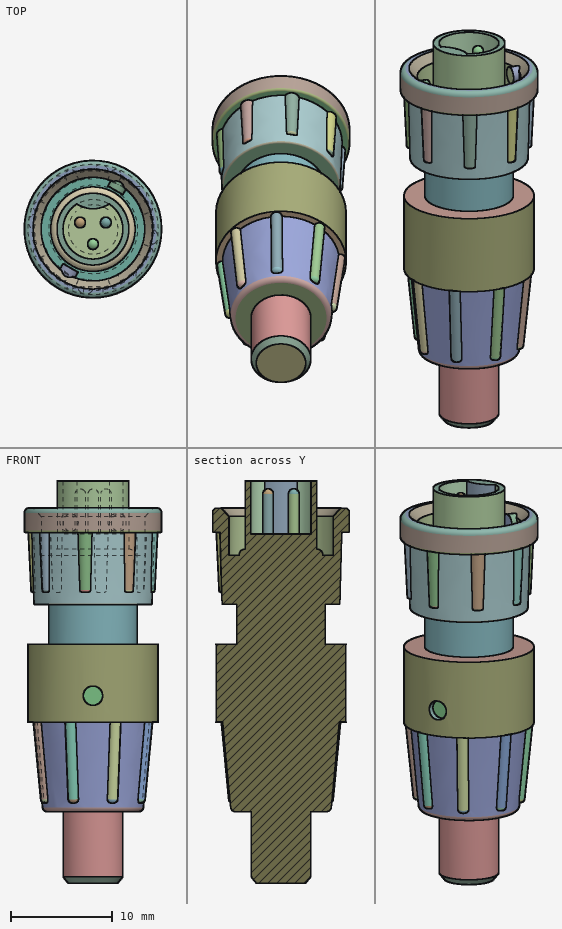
import cadquery as cq
import math

total_height = 39.52

tail_radius = 2.94
tail_chamfer_width = 0.51
tail_chamfer_height = 0.63

cap_bottom_z = 7.02
cap_bottom_radius = 4.93
cap_top_radius = 5.75
cap_fillet = 0.5
cap_rib_radius = 0.55
cap_rib_start_z = 7.9
cap_rib_tip = 0.4
cap_rib_angle = 22.5

sleeve_bottom_z = 15.83
sleeve_top_z = 23.5
sleeve_radius = 6.4
side_hole_radius = 0.95
side_hole_z = 18.43
side_hole_depth = 0.8

neck_radius = 4.36

ring_bottom_z = 27.36
ring_bottom_radius = 5.81
ring_top_radius = 6.0
ring_bottom_edge = 0.15
collar_bottom_z = 34.43
collar_top_z = 36.88
collar_radius = 13.51 / 2
collar_bottom_edge = 0.2
collar_fillet = 0.5
ring_rib_start_z = 28.6
ring_rib_bottom_radius = 0.6
ring_rib_top_radius = 0.77
ring_rib_bottom_offset = 5.53
ring_rib_top_offset = 5.64
ring_rib_tip = 0.2
ring_rib_angle = -7.5
rib_count = 8

bore_radius = 5.09
bore_floor_z = 32.22
mouth_radius = 5.89
mouth_depth = 0.85

bayonet_radius = 0.85
bayonet_inner_radius = 4.4
bayonet_z = 35.45
bayonet_angles = (60, 240)

nose_radius = 3.53
shoulder_radius = 4.15
shoulder_top_z = bore_floor_z + shoulder_radius - nose_radius
socket_radius = 2.94
socket_depth = 5.2
key_radius = 2.9
key_inner_y = 2.0

contact_radius = 0.53
contact_top_z = 38.75
contact_positions = ((-1.26, 0.65), (1.26, 0.65), (0, -1.47))


def cylinder(radius, bottom_z, top_z, position=(0, 0)):
    """Upright cylinder between two heights."""
    base = cq.Workplane("XY", origin=(position[0], position[1], bottom_z))
    return base.circle(radius).extrude(top_z - bottom_z)


def frustum(bottom_radius, top_radius, bottom_z, top_z):
    """Upright truncated cone on the part axis."""
    return cq.Workplane(
        cq.Solid.makeCone(bottom_radius, top_radius, top_z - bottom_z, cq.Vector(0, 0, bottom_z))
    )


def ribs(bottom, top, tip, first_angle):
    """Ring of round ribs; bottom and top are (axis offset, height, rib radius)."""
    bottom_offset, bottom_z, bottom_radius = bottom
    top_offset, top_z, top_radius = top
    start = cq.Vector(bottom_offset, 0, bottom_z)
    direction = cq.Vector(top_offset, 0, top_z) - start
    widening = math.degrees(math.atan2(top_radius - bottom_radius, direction.Length))
    rib_length = direction.Length + top_radius
    rib_plane = cq.Plane(origin=start, xDir=(0, 1, 0), normal=direction)
    rib = cq.Workplane(rib_plane).circle(bottom_radius).extrude(rib_length, taper=-widening)
    rib = rib.faces("<Z").edges().fillet(tip)
    rib = rib.intersect(cylinder(collar_radius, bottom_z - bottom_radius, top_z))
    ring = cq.Workplane()
    for index in range(rib_count):
        ring = ring.add(rib.rotate((0, 0, 0), (0, 0, 1), first_angle + index * 360 / rib_count))
    return ring.combine()


def make_tail():
    tail = cylinder(tail_radius, 0, sleeve_bottom_z)
    return tail.faces("<Z").chamfer(tail_chamfer_height, tail_chamfer_width)


def make_cap():
    cap = frustum(cap_bottom_radius, cap_top_radius, cap_bottom_z, sleeve_bottom_z)
    cap = cap.faces("<Z").edges().fillet(cap_fillet)
    bottom = (cap_bottom_radius, cap_rib_start_z, cap_rib_radius)
    top = (cap_top_radius, sleeve_bottom_z, cap_rib_radius)
    return cap.union(ribs(bottom, top, cap_rib_tip, cap_rib_angle))


def make_sleeve():
    sleeve = cylinder(sleeve_radius, sleeve_bottom_z, sleeve_top_z)
    hole_start = cq.Workplane("XZ", origin=(0, -sleeve_radius + side_hole_depth, side_hole_z))
    return sleeve.cut(hole_start.circle(side_hole_radius).extrude(sleeve_radius))


def make_coupling_ring():
    skirt = frustum(ring_bottom_radius, ring_top_radius, ring_bottom_z, collar_bottom_z)
    skirt = skirt.faces("<Z").edges().fillet(ring_bottom_edge)
    bottom = (ring_rib_bottom_offset, ring_rib_start_z, ring_rib_bottom_radius)
    top = (ring_rib_top_offset, collar_bottom_z, ring_rib_top_radius)
    skirt = skirt.union(ribs(bottom, top, ring_rib_tip, ring_rib_angle))
    collar = cylinder(collar_radius, collar_bottom_z, collar_top_z)
    collar = collar.faces("<Z").edges().fillet(collar_bottom_edge)
    collar = collar.faces(">Z").edges().fillet(collar_fillet)
    ring = skirt.union(collar)
    ring = ring.cut(cylinder(bore_radius, bore_floor_z, collar_top_z))
    ring = ring.cut(frustum(bore_radius, mouth_radius, collar_top_z - mouth_depth, collar_top_z))
    for angle in bayonet_angles:
        ring = ring.union(make_bayonet_pin(angle))
    return ring


def make_bayonet_pin(angle):
    outer_radius = (bore_radius + ring_bottom_radius) / 2
    start = cq.Workplane("YZ", origin=(bayonet_inner_radius, 0, bayonet_z))
    pin = start.circle(bayonet_radius).extrude(outer_radius - bayonet_inner_radius)
    return pin.rotate((0, 0, 0), (0, 0, 1), angle)


def make_insert():
    shoulder = cylinder(shoulder_radius, ring_bottom_z, shoulder_top_z)
    shoulder = shoulder.faces(">Z").edges().fillet(shoulder_radius - nose_radius)
    insert = shoulder.union(cylinder(nose_radius, ring_bottom_z, total_height))
    socket_floor_z = total_height - socket_depth
    socket = cylinder(socket_radius, socket_floor_z, total_height)
    key_center = (0, key_inner_y + key_radius)
    socket = socket.cut(cylinder(key_radius, socket_floor_z, total_height, key_center))
    insert = insert.cut(socket)
    for position in contact_positions:
        contact = cylinder(contact_radius, socket_floor_z, contact_top_z - contact_radius, position)
        tip = cq.Workplane(origin=(*position, contact_top_z - contact_radius)).sphere(contact_radius)
        insert = insert.union(contact).union(tip)
    return insert


result = (
    make_tail()
    .union(make_cap())
    .union(make_sleeve())
    .union(cylinder(neck_radius, sleeve_top_z, ring_bottom_z))
    .union(make_coupling_ring())
    .union(make_insert())
)